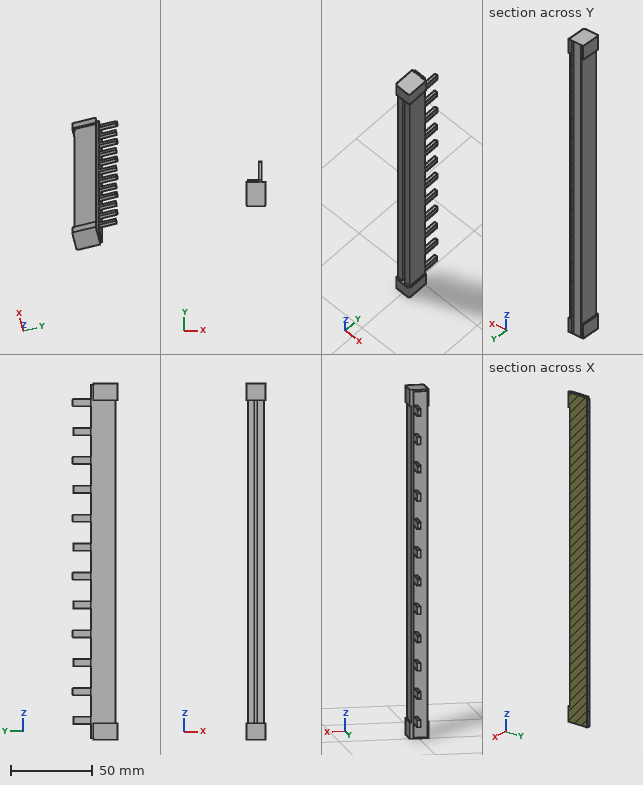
import cadquery as cq

overall_width = 11.8
overall_depth = 27.9
overall_height = 219.0

cap_depth = 15.0
cap_height = 10.3
cap_wall = 0.9
cap_edge_radius = 1.2

body_width = overall_width - 2 * cap_wall
body_height = overall_height - 2 * cap_wall
body_front_setback = 1.3
rear_overhang = 1.5
rear_step_width = 1.4
side_wall = 1.0
rear_wall = 0.9
groove_width = 1.9
groove_depth = 2.0
groove_center_x = -0.1

pin_count = 12
pin_pitch = 17.75
pin_height = 4.6
pin_thickness = 2.0
pin_tip_chamfer = 0.7
short_pin_setback = 0.7
top_pin_drop = 11.8

cap_front_y = -cap_depth / 2
cap_rear_y = cap_front_y + cap_depth
body_front_y = cap_front_y + body_front_setback
body_rear_y = cap_rear_y + rear_overhang
pin_tip_y = cap_front_y + overall_depth
pins_right_x = body_width / 2 - rear_step_width
pins_left_x = pins_right_x - pin_thickness


def box_between(x_range, y_range, z_range):
    """Axis-aligned box spanning three coordinate ranges."""
    size = [high - low for low, high in (x_range, y_range, z_range)]
    corner = (x_range[0], y_range[0], z_range[0])
    return cq.Workplane("XY").box(*size, centered=False).translate(corner)


def make_body():
    """Long profile with a front groove, a stepped rear right edge and a thin gap inside its rear wall."""
    half_width = body_width / 2
    z_range = (-body_height / 2, body_height / 2)
    body = box_between((-half_width, half_width), (body_front_y, body_rear_y), z_range)
    groove = box_between(
        (groove_center_x - groove_width / 2, groove_center_x + groove_width / 2),
        (body_front_y, body_front_y + groove_depth),
        z_range,
    )
    rear_step = box_between((pins_right_x, half_width), (cap_rear_y, body_rear_y), z_range)
    rear_gap = box_between(
        (-half_width + side_wall, pins_left_x),
        (cap_rear_y, body_rear_y - rear_wall),
        z_range,
    )
    return body.cut(groove).cut(rear_step).cut(rear_gap)


def make_cap(center_z):
    """End cap with rounded vertical front edges."""
    cap = cq.Workplane("XY").box(overall_width, cap_depth, cap_height)
    cap = cap.faces("<Y").edges("|Z").fillet(cap_edge_radius)
    return cap.translate((0, 0, center_z))


def make_pin(index):
    """Contact pin; even pins are long with chamfered tips, odd ones short."""
    is_long = index % 2 == 0
    center_z = overall_height / 2 - top_pin_drop - index * pin_pitch
    tip_y = pin_tip_y if is_long else pin_tip_y - short_pin_setback
    pin = box_between(
        (pins_left_x, pins_right_x),
        (body_front_y + groove_depth, tip_y),
        (center_z - pin_height / 2, center_z + pin_height / 2),
    )
    if is_long:
        pin = pin.faces(">Y").edges("|X").chamfer(pin_tip_chamfer)
    return pin


result = make_body()
cap_center_z = (overall_height - cap_height) / 2
for end in (-1, 1):
    result = result.union(make_cap(end * cap_center_z))
for pin_index in range(pin_count):
    result = result.union(make_pin(pin_index))